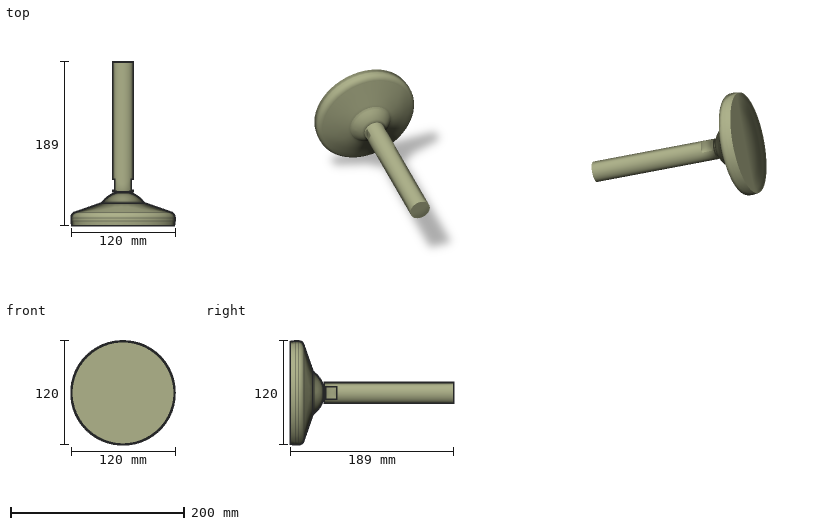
import cadquery as cq
import math

total_length = 189.0

pad_diameter = 120.0
pad_radius = pad_diameter / 2
sole_radius = 59.2
rim_start_y = 5.9
rim_end_y = 9.3
shoulder_radius = 54.6
shoulder_y = 15.9
cone_top_radius = 25.0
cone_top_y = 26.3

dome_base_radius = 23.0
dome_base_y = 28.0
dome_apex_y = 39.3
dome_height = dome_apex_y - dome_base_y
sphere_radius = (dome_base_radius**2 + dome_height**2) / (2 * dome_height)
sphere_center_y = dome_apex_y - sphere_radius

stem_diameter = 24.0
stem_start_y = 39.3
neck_radius = 7.7

across_flats = 19.0
flat_start_y = 41.0
flat_end_y = 53.5


def dome_point(angle):
    """Point (radius, Y) on the dome at an angle measured from the axis."""
    return (
        sphere_radius * math.sin(angle),
        sphere_center_y + sphere_radius * math.cos(angle),
    )


def make_foot():
    """Pad, collar and dome as one revolved profile."""
    dome_half_angle = math.asin(dome_base_radius / sphere_radius)
    profile = (
        cq.Workplane("XY")
        .lineTo(sole_radius, 0)
        .lineTo(pad_radius, rim_start_y)
        .lineTo(pad_radius, rim_end_y)
        .tangentArcPoint((shoulder_radius, shoulder_y), relative=False)
        .lineTo(cone_top_radius, cone_top_y)
        .lineTo(dome_base_radius, dome_base_y)
        .threePointArc(dome_point(dome_half_angle / 2), (0, dome_apex_y))
        .close()
    )
    return profile.revolve(360, (0, 0, 0), (0, 1, 0))


def make_rod(radius, start_y, end_y):
    """Round bar along the axis."""
    axis = cq.Vector(0, 1, 0)
    start = cq.Vector(0, start_y, 0)
    return cq.Workplane(cq.Solid.makeCylinder(radius, end_y - start_y, start, axis))


def cut_wrench_flats(stem):
    """Remove a flat-bottomed notch from each side of the stem."""
    notch_length = flat_end_y - flat_start_y
    notch = cq.Workplane("XY").box(stem_diameter, notch_length, stem_diameter)
    notch_x = (across_flats + stem_diameter) / 2
    notch_y = (flat_start_y + flat_end_y) / 2
    for side in (-1, 1):
        stem = stem.cut(notch.translate((side * notch_x, notch_y, 0)))
    return stem


stem = cut_wrench_flats(make_rod(stem_diameter / 2, stem_start_y, total_length))
neck = make_rod(neck_radius, dome_base_y, stem_start_y)
result = make_foot().union(neck).union(stem)